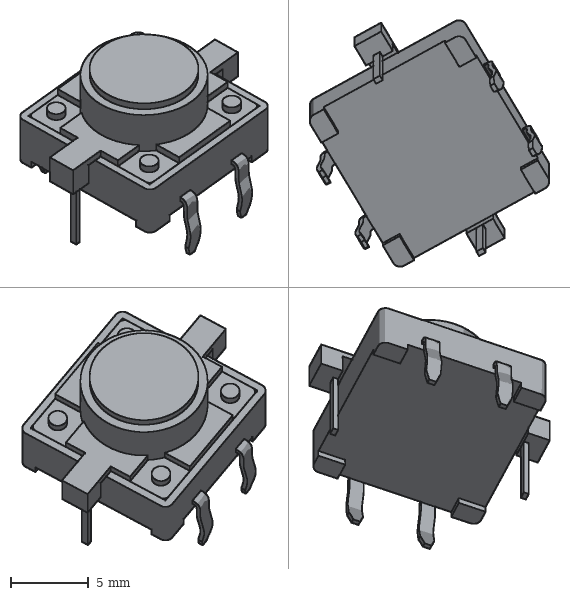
import cadquery as cq


housing_length_x = 11.5
housing_length_y = 11.7
housing_height = 3.6
corner_radius = 0.53
rim_width = 0.53
foot_height = 0.5
foot_gap_x = 9.0
foot_gap_y = 7.95

plate_length_x = housing_length_x - 2 * rim_width
plate_length_y = housing_length_y - 2 * rim_width
plate_thickness = 1.0
plate_corner_radius = 0.4
plate_bottom = housing_height - plate_thickness
cross_height = 0.5
cross_width = 4.96
cross_top = housing_height + cross_height
peg_diameter = 1.2
peg_spacing = 8.0
arm_span = 16.0
arm_width = 1.98
block_depth = 1.5
block_height = 2.0
block_bottom = cross_top - block_height

button_diameter = 8.2
button_shoulder_height = 3.0
cap_diameter = 7.0
cap_height = 0.5

terminal_span = 13.33
terminal_thickness = 0.3
terminal_width = 1.0
terminal_spacing = 5.0
terminal_top = 1.38
terminal_bottom = -3.23
terminal_belly_offset = 0.29
terminal_straight_end = 0.16
terminal_belly_z = -1.4
terminal_taper_start = -2.48
terminal_tip_width = 0.48
tip_slope = 0.08

lamp_pin_width = 0.5
lamp_pin_thickness = 0.35
lamp_pin_bottom = -3.2


def centred_box(size_x, size_y, bottom, top):
    """Box centred on the Z axis, between two heights."""
    return cq.Workplane("XY").workplane(offset=bottom).rect(size_x, size_y).extrude(top - bottom)


def make_housing():
    body = centred_box(housing_length_x, housing_length_y, 0, housing_height)
    body = body.edges("|Z").fillet(corner_radius)
    pocket = centred_box(plate_length_x, plate_length_y, plate_bottom, housing_height)
    channel_along_y = centred_box(foot_gap_x, housing_length_y, 0, foot_height)
    channel_along_x = centred_box(housing_length_x, foot_gap_y, 0, foot_height)
    return body.cut(pocket).cut(channel_along_y).cut(channel_along_x)


def make_cover():
    plate = centred_box(plate_length_x, plate_length_y, plate_bottom, housing_height)
    plate = plate.edges("|Z").fillet(plate_corner_radius)
    cross_along_x = centred_box(plate_length_x, cross_width, housing_height, cross_top)
    cross_along_y = centred_box(cross_width, plate_length_y, housing_height, cross_top)
    arms = centred_box(arm_width, arm_span, housing_height, cross_top)
    blocks = centred_box(arm_width, arm_span, block_bottom, cross_top).cut(
        centred_box(arm_width, arm_span - 2 * block_depth, block_bottom, cross_top)
    )
    pegs = (
        cq.Workplane("XY")
        .workplane(offset=housing_height)
        .rect(peg_spacing, peg_spacing, forConstruction=True)
        .vertices()
        .circle(peg_diameter / 2)
        .extrude(cross_height)
    )
    button_hole = (
        cq.Workplane("XY")
        .workplane(offset=housing_height)
        .circle(button_diameter / 2)
        .extrude(cross_height)
    )
    raised_parts = cross_along_x.union(cross_along_y).union(arms).union(blocks).cut(button_hole)
    return plate.union(raised_parts).union(pegs)


def make_button():
    return (
        cq.Workplane("XY")
        .workplane(offset=housing_height)
        .circle(button_diameter / 2)
        .extrude(button_shoulder_height)
        .faces(">Z")
        .workplane()
        .circle(cap_diameter / 2)
        .extrude(cap_height)
    )


def make_terminal(side, y):
    """Sheet terminal leaving the housing wall on the given X side (-1 or 1)."""
    wall = housing_length_x / 2
    belly = terminal_span / 2
    shank = belly - terminal_belly_offset
    bend_radius = shank - wall
    bend_end_z = terminal_top - bend_radius
    out = (1, 0)
    down = (0, -1)
    up = (0, 1)
    back = (-1, 0)
    outer_curve = [
        (wall, terminal_top),
        (shank, bend_end_z),
        (shank, terminal_straight_end),
        (belly, terminal_belly_z),
        (shank, terminal_bottom),
    ]
    inner_curve = [(x - terminal_thickness, z) for x, z in reversed(outer_curve)]
    inner_curve[-1] = (wall, terminal_top - terminal_thickness)
    strip = (
        cq.Workplane("XZ", origin=(0, terminal_width / 2, 0))
        .moveTo(*outer_curve[0])
        .spline(outer_curve[1:], tangents=[out, down, down, down, (-tip_slope, -1)], includeCurrent=True)
        .lineTo(*inner_curve[0])
        .spline(inner_curve[1:], tangents=[(tip_slope, 1), up, up, up, back], includeCurrent=True)
        .close()
        .extrude(terminal_width)
    )
    tapered_blank = (
        cq.Workplane("YZ")
        .polyline([
            (-terminal_width / 2, terminal_top),
            (terminal_width / 2, terminal_top),
            (terminal_width / 2, terminal_taper_start),
            (terminal_tip_width / 2, terminal_bottom),
            (-terminal_tip_width / 2, terminal_bottom),
            (-terminal_width / 2, terminal_taper_start),
        ])
        .close()
        .extrude(belly)
    )
    terminal = strip.intersect(tapered_blank)
    if side < 0:
        terminal = terminal.mirror("YZ")
    return terminal.translate((0, y, 0))


def make_lamp_pin(side):
    """Straight pin under an arm block, flush with the inner face of the block."""
    pin_y = arm_span / 2 - block_depth + lamp_pin_thickness / 2
    pin = centred_box(lamp_pin_width, lamp_pin_thickness, lamp_pin_bottom, block_bottom)
    return pin.translate((0, side * pin_y, 0))


housing = make_housing()
cover = make_cover()
button = make_button()
terminals = [
    make_terminal(side, row * terminal_spacing / 2)
    for side in (-1, 1)
    for row in (-1, 1)
]
lamp_pins = [make_lamp_pin(side) for side in (-1, 1)]

result = cq.Compound.makeCompound([
    housing.val(),
    cover.val(),
    button.val(),
    *[terminal.val() for terminal in terminals],
    *[pin.val() for pin in lamp_pins],
])